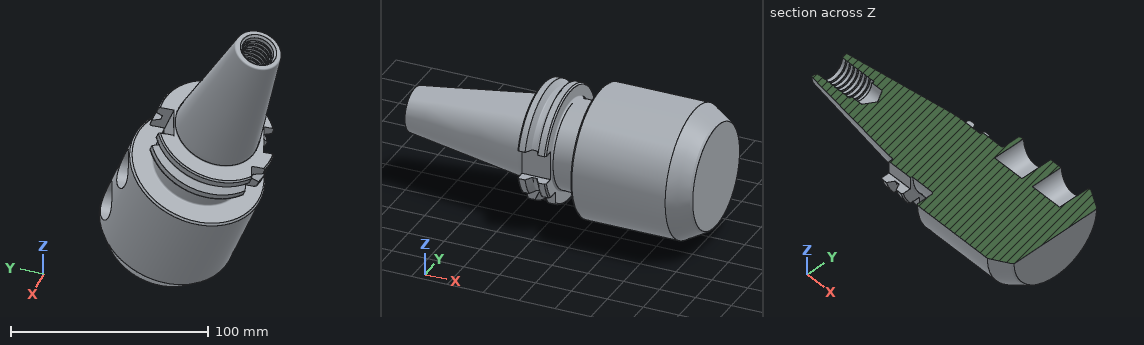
import cadquery as cq
import math


TAPER_LENGTH = 68.25
TAPER_RATIO = 7 / 24
GAUGE_RADIUS = 44.45 / 2
TIP_RADIUS = GAUGE_RADIUS - TAPER_RATIO * TAPER_LENGTH / 2
TIP_FILLET = 1.0

GAUGE_BLEND = 9.0
GAUGE_ROOT_FILLET = 0.8

FLANGE_START = 3.18
FLANGE_END = 19.05
FLANGE_RADIUS = 63.5 / 2
FLANGE_CHAMFER = 0.8
V_CENTER = 11.1
V_HALF_WIDTH = 3.6
V_FLOOR_RADIUS = 28.0
V_FLOOR_FILLET = 0.6
V_HALF_ANGLE = 30
V_FLOOR_HALF_WIDTH = V_HALF_WIDTH - (FLANGE_RADIUS - V_FLOOR_RADIUS) * math.tan(math.radians(V_HALF_ANGLE))

SLOT_WIDTH = 16.0
MINUS_Y_SLOT_FLOOR = 25.0
PLUS_Y_SLOT_FLOOR = 22.6
NOTCH_WALL_Y = -18.6
NOTCH_WALL_Z = -18.4
NOTCH_FILLET = 0.8

NECK_RADIUS = 24.0
NECK_FILLET = 1.0
BODY_START = 35.0
BODY_RADIUS = 36.0
BODY_CHAMFER = 1.0
NOSE_START = 88.0
NOSE_ANGLE = 30
NOSE_CHAMFER = 1.0
BODY_END = 100.0

SCREW_HOLE_RADIUS = 10.0
SCREW_HOLE_POSITIONS = (48.0, 76.0)
SCREW_HOLE_DEPTH = 20.0

MOUTH_RADIUS = 9.6
THREAD_MAJOR_RADIUS = 8.4
THREAD_MINOR_RADIUS = 7.8
THREAD_PITCH = 2.9
THREAD_CREST_WIDTH = 0.2
THREAD_FLANK_ANGLE = 30
THREAD_COUNT = 7
DRILL_RADIUS = 7.0
DRILL_DEPTH = 32.0
DRILL_TIP_HALF_ANGLE = 59


def revolve_about_x(profile):
    return profile.close().revolve(360, (0, 0, 0), (1, 0, 0))


def fillet_ring(body, x, ring_radius, fillet_radius):
    """Round the circular edge of the given radius that lies at x."""
    tolerance = 0.001

    def is_ring(edge):
        if edge.geomType() != "CIRCLE":
            return False
        return abs(edge.Center().x - x) < tolerance and abs(edge.radius() - ring_radius) < tolerance

    return body.newObject(body.edges().filter(is_ring).vals()).fillet(fillet_radius)


def make_turned_blank():
    nose_chamfer_start = BODY_END - NOSE_CHAMFER
    nose_radius = BODY_RADIUS - (nose_chamfer_start - NOSE_START) * math.tan(math.radians(NOSE_ANGLE))
    profile = (
        cq.Workplane("XY")
        .moveTo(-TAPER_LENGTH, 0)
        .lineTo(-TAPER_LENGTH, TIP_RADIUS)
        .lineTo(0, GAUGE_RADIUS)
        .lineTo(FLANGE_START, GAUGE_RADIUS)
        .lineTo(FLANGE_START, FLANGE_RADIUS - FLANGE_CHAMFER)
        .lineTo(FLANGE_START + FLANGE_CHAMFER, FLANGE_RADIUS)
        .lineTo(V_CENTER - V_HALF_WIDTH, FLANGE_RADIUS)
        .lineTo(V_CENTER - V_FLOOR_HALF_WIDTH, V_FLOOR_RADIUS)
        .lineTo(V_CENTER + V_FLOOR_HALF_WIDTH, V_FLOOR_RADIUS)
        .lineTo(V_CENTER + V_HALF_WIDTH, FLANGE_RADIUS)
        .lineTo(FLANGE_END - FLANGE_CHAMFER, FLANGE_RADIUS)
        .lineTo(FLANGE_END, FLANGE_RADIUS - FLANGE_CHAMFER)
        .lineTo(FLANGE_END, NECK_RADIUS)
        .lineTo(BODY_START, NECK_RADIUS)
        .lineTo(BODY_START, BODY_RADIUS - BODY_CHAMFER)
        .lineTo(BODY_START + BODY_CHAMFER, BODY_RADIUS)
        .lineTo(NOSE_START, BODY_RADIUS)
        .lineTo(nose_chamfer_start, nose_radius)
        .lineTo(BODY_END, nose_radius - NOSE_CHAMFER)
        .lineTo(BODY_END, 0)
    )
    return revolve_about_x(profile)


def round_blank(body):
    body = fillet_ring(body, -TAPER_LENGTH, TIP_RADIUS, TIP_FILLET)
    body = fillet_ring(body, 0, GAUGE_RADIUS, GAUGE_BLEND)
    body = fillet_ring(body, FLANGE_START, GAUGE_RADIUS, GAUGE_ROOT_FILLET)
    for x in (V_CENTER - V_FLOOR_HALF_WIDTH, V_CENTER + V_FLOOR_HALF_WIDTH):
        body = fillet_ring(body, x, V_FLOOR_RADIUS, V_FLOOR_FILLET)
    for x in (FLANGE_END, BODY_START):
        body = fillet_ring(body, x, NECK_RADIUS, NECK_FILLET)
    return body


def flange_cutter(y_range, z_range):
    """Box through the full thickness of the flange and the fillet behind it."""
    y_min, y_max = y_range
    z_min, z_max = z_range
    return (
        cq.Workplane("XY")
        .box(FLANGE_END + NECK_FILLET - FLANGE_START, y_max - y_min, z_max - z_min, centered=False)
        .translate((FLANGE_START, y_min, z_min))
    )


def cut_flange(body):
    slot_z = (-SLOT_WIDTH / 2, SLOT_WIDTH / 2)
    minus_y_slot = flange_cutter((-BODY_RADIUS, -MINUS_Y_SLOT_FLOOR), slot_z)
    plus_y_slot = flange_cutter((PLUS_Y_SLOT_FLOOR, BODY_RADIUS), slot_z)
    notch = (
        flange_cutter((-BODY_RADIUS, NOTCH_WALL_Y), (-BODY_RADIUS, NOTCH_WALL_Z))
        .edges("|X and >Y and >Z")
        .fillet(NOTCH_FILLET)
    )
    return body.cut(minus_y_slot).cut(plus_y_slot).cut(notch)


def cut_screw_holes(body):
    for x in SCREW_HOLE_POSITIONS:
        hole = (
            cq.Workplane("XZ", origin=(x, BODY_RADIUS, 0))
            .circle(SCREW_HOLE_RADIUS)
            .extrude(SCREW_HOLE_DEPTH)
        )
        body = body.cut(hole)
    return body


def cut_drawbar_hole(body):
    """Drilled hole with a chamfered mouth; the thread is a row of separate rings."""
    thread_depth = THREAD_MAJOR_RADIUS - THREAD_MINOR_RADIUS
    thread_start = -TAPER_LENGTH + MOUTH_RADIUS - THREAD_MAJOR_RADIUS
    thread_end = thread_start + (THREAD_COUNT + 1) * THREAD_PITCH
    drill_end = -TAPER_LENGTH + DRILL_DEPTH
    drill_tip = drill_end + DRILL_RADIUS / math.tan(math.radians(DRILL_TIP_HALF_ANGLE))
    half_crest = THREAD_CREST_WIDTH / 2
    half_root = half_crest + thread_depth * math.tan(math.radians(THREAD_FLANK_ANGLE))
    profile = (
        cq.Workplane("XY")
        .moveTo(-TAPER_LENGTH, 0)
        .lineTo(-TAPER_LENGTH, MOUTH_RADIUS)
        .lineTo(thread_start, THREAD_MAJOR_RADIUS)
    )
    for i in range(THREAD_COUNT):
        crest = thread_start + (i + 1) * THREAD_PITCH
        profile = (
            profile.lineTo(crest - half_root, THREAD_MAJOR_RADIUS)
            .lineTo(crest - half_crest, THREAD_MINOR_RADIUS)
            .lineTo(crest + half_crest, THREAD_MINOR_RADIUS)
            .lineTo(crest + half_root, THREAD_MAJOR_RADIUS)
        )
    profile = (
        profile.lineTo(thread_end, THREAD_MAJOR_RADIUS)
        .lineTo(thread_end, DRILL_RADIUS)
        .lineTo(drill_end, DRILL_RADIUS)
        .lineTo(drill_tip, 0)
    )
    return body.cut(revolve_about_x(profile))


blank = make_turned_blank()
rounded = round_blank(blank)
flanged = cut_flange(rounded)
bored = cut_screw_holes(flanged)
result = cut_drawbar_hole(bored)